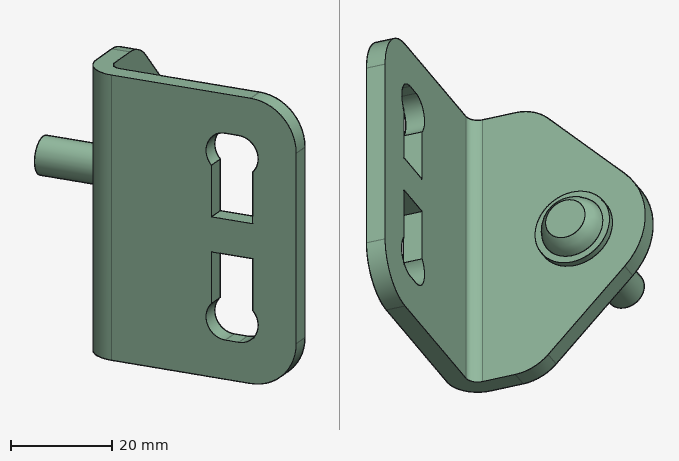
import cadquery as cq
import math

length = 68.3
depth = 41.45
height = 60.0
half_height = height / 2

thickness = 4.0
bend_inner_radius = 2.5
bend_outer_radius = bend_inner_radius + thickness
corner_radius = 10.0
wall_x = 21.25
wall_inner_x = wall_x + thickness

tip_radius = 15.0
pin_y = depth - tip_radius
tip_tangent_offset = tip_radius * math.sqrt(0.5)
taper_start_y = pin_y + tip_radius * math.sqrt(2) - half_height

slot_x = 54.2
slot_width = 9.0
slot_inner_z = 3.7
slot_outer_z = 21.7
slot_head_width = 11.4
slot_head_height = 8.5
slot_head_z = slot_outer_z - slot_head_height / 2

pin_radius = 4.0
collar_radius = 8.0
collar_thickness = 1.5
dome_base_radius = 6.55
dome_mid_radius = 5.9
dome_top_radius = 4.25
dome_height = 3.5


def make_flange_envelope():
    """Flange outline with rounded free corners, extended along Y to cover the whole sheet."""
    envelope_length = length - wall_x
    envelope = cq.Workplane("XY").box(envelope_length, depth, height, centered=(False, False, True))
    envelope = envelope.translate((wall_x, 0, 0))
    return envelope.edges("|Y and >X").fillet(corner_radius)


def make_bent_profile():
    """L-shaped sheet with a rounded bend, extruded over the full height."""
    profile = (
        cq.Workplane("XY")
        .moveTo(wall_x, 0)
        .lineTo(length, 0)
        .lineTo(length, thickness)
        .lineTo(wall_inner_x, thickness)
        .lineTo(wall_inner_x, depth)
        .lineTo(wall_x, depth)
        .close()
        .extrude(half_height, both=True)
    )
    outer_bend = cq.selectors.NearestToPointSelector((wall_x, 0, 0))
    inner_bend = cq.selectors.NearestToPointSelector((wall_inner_x, thickness, 0))
    return profile.edges(outer_bend).fillet(bend_outer_radius).edges(inner_bend).fillet(bend_inner_radius)


def make_taper_envelope():
    """Tapered wall outline, extended along X to cover the whole sheet."""
    tangent_y = pin_y + tip_tangent_offset
    envelope = (
        cq.Workplane("YZ")
        .moveTo(0, -half_height)
        .lineTo(taper_start_y, -half_height)
        .lineTo(tangent_y, -tip_tangent_offset)
        .threePointArc((depth, 0), (tangent_y, tip_tangent_offset))
        .lineTo(taper_start_y, half_height)
        .lineTo(0, half_height)
        .close()
        .extrude(length)
    )
    for side in (-1, 1):
        corner = cq.selectors.NearestToPointSelector((length / 2, taper_start_y, side * half_height))
        envelope = envelope.edges(corner).fillet(corner_radius)
    return envelope


def make_keyhole(side):
    """Cutter for one keyhole: a straight slot ending in a wider oblong head."""
    head_z = side * slot_head_z
    shank_length = slot_head_z - slot_inner_z
    shank_z = side * (slot_head_z + slot_inner_z) / 2
    shank = cq.Workplane("XZ").center(slot_x, shank_z).rect(slot_width, shank_length).extrude(-thickness)
    head = cq.Workplane("XZ").center(slot_x, head_z).slot2D(slot_head_width, slot_head_height)
    return shank.union(head.extrude(-thickness))


def make_screw():
    """Pin, collar and domed head revolved about the pin axis."""
    collar_x = wall_inner_x + collar_thickness
    dome_top_x = collar_x + dome_height
    return (
        cq.Workplane("XY")
        .moveTo(0, 0)
        .lineTo(0, pin_radius)
        .lineTo(wall_inner_x, pin_radius)
        .lineTo(wall_inner_x, collar_radius)
        .lineTo(collar_x, collar_radius)
        .lineTo(collar_x, dome_base_radius)
        .threePointArc((collar_x + dome_height / 2, dome_mid_radius), (dome_top_x, dome_top_radius))
        .lineTo(dome_top_x, 0)
        .close()
        .revolve(360, (0, 0, 0), (1, 0, 0))
        .translate((0, pin_y, 0))
    )


bracket = make_bent_profile().intersect(make_flange_envelope()).intersect(make_taper_envelope())
for slot_side in (-1, 1):
    bracket = bracket.cut(make_keyhole(slot_side))

result = bracket.union(make_screw())